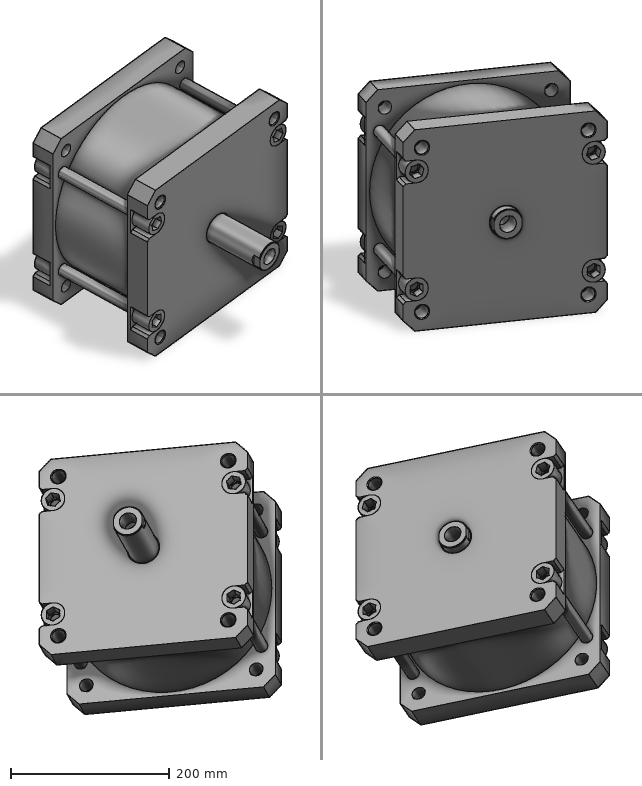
import cadquery as cq
import math

plate_side = 270.0
plate_thickness = 33.5
plate_corner_chamfer = 15.5

barrel_diameter = 260.5
barrel_length = 124.0

rod_diameter = 40.0
rod_length = 290.0
stub_length = 12.0
rod_tip_chamfer = 1.0
rod_hole_chamfer = 1.0
flat_spacing = 36.6
flat_length = 10.0
rod_bore_diameter = 22.0
rod_bore_depth = 30.0
drill_tip_angle = 118.0

mount_hole_offset = 110.0
mount_hole_diameter = 17.5
mount_hole_chamfer = 1.25

tie_rod_y = 117.0
tie_rod_z = 79.0
tie_rod_diameter = 16.0
tie_head_diameter = 30.5
tie_head_length = 28.0
hexagon_sides = 6
socket_across_flats = 17.0
socket_depth = 16.0
socket_pilot_diameter = 14.0
socket_pilot_depth = 2.0
upper_socket_turn = 15.0
slot_mouth_chamfer = 3.5

half_side = plate_side / 2
left_plate_start = stub_length
left_plate_end = left_plate_start + plate_thickness
right_plate_start = left_plate_end + barrel_length
right_plate_end = right_plate_start + plate_thickness
body_centre_x = (left_plate_start + right_plate_end) / 2
tie_rod_places = [(y, z) for y in (-tie_rod_y, tie_rod_y) for z in (-tie_rod_z, tie_rod_z)]


def section_plane(x):
    """Sketch plane across the rod axis at x, with local axes along +Y and +Z."""
    return cq.Workplane("YZ", origin=(x, 0, 0))


def mirrored_to_other_end(shape, centre_x):
    """Copy of a shape reflected to the opposite end about the plane X = centre_x."""
    return shape.mirror("YZ", (centre_x, 0, 0))


def head_slot(y, z):
    """Open-sided pocket for one tie rod head, with a bevelled mouth at the plate side."""
    side = math.copysign(1, y)
    radius = tie_head_diameter / 2
    edge_y = side * half_side
    bevel_y = edge_y - side * slot_mouth_chamfer
    mouth = radius + slot_mouth_chamfer
    return (
        section_plane(left_plate_start)
        .moveTo(y, z + radius)
        .lineTo(bevel_y, z + radius)
        .lineTo(edge_y, z + mouth)
        .lineTo(edge_y, z - mouth)
        .lineTo(bevel_y, z - radius)
        .lineTo(y, z - radius)
        .threePointArc((y - side * radius, z), (y, z + radius))
        .close()
        .extrude(tie_head_length)
    )


def rod_hole_countersink():
    """Conical lead-in around the rod on the outer face of the plate."""
    return (
        section_plane(left_plate_start)
        .circle(rod_diameter / 2 + rod_hole_chamfer)
        .workplane(offset=rod_hole_chamfer)
        .circle(rod_diameter / 2)
        .loft(ruled=True)
    )


def make_left_plate():
    plate = (
        section_plane(left_plate_start)
        .rect(plate_side, plate_side)
        .extrude(plate_thickness)
        .edges("|X")
        .chamfer(plate_corner_chamfer)
    )
    mount_pitch = 2 * mount_hole_offset
    mount_holes = (
        section_plane(left_plate_start)
        .rect(mount_pitch, mount_pitch, forConstruction=True)
        .vertices()
        .circle(mount_hole_diameter / 2)
        .extrude(plate_thickness)
    )
    plate = plate.cut(mount_holes)
    plate = plate.edges("%CIRCLE").edges("<X").chamfer(mount_hole_chamfer)
    tie_holes = (
        section_plane(left_plate_start)
        .pushPoints(tie_rod_places)
        .circle(tie_rod_diameter / 2)
        .extrude(plate_thickness)
    )
    rod_hole = section_plane(left_plate_start).circle(rod_diameter / 2).extrude(plate_thickness)
    plate = plate.cut(tie_holes).cut(rod_hole).cut(rod_hole_countersink())
    for y, z in tie_rod_places:
        plate = plate.cut(head_slot(y, z))
    return plate


def make_barrel():
    return (
        section_plane(left_plate_end)
        .circle(barrel_diameter / 2)
        .circle(rod_diameter / 2)
        .extrude(barrel_length)
    )


def rod_bore():
    """Blind drilled hole in the stub end, closed by a conical drill tip."""
    radius = rod_bore_diameter / 2
    tip_depth = radius / math.tan(math.radians(drill_tip_angle / 2))
    return (
        cq.Workplane("XY")
        .polyline([(0, 0), (0, radius), (rod_bore_depth, radius), (rod_bore_depth + tip_depth, 0)])
        .close()
        .revolve(360, (0, 0, 0), (1, 0, 0))
    )


def wrench_flat(side):
    """Material removed for one wrench flat, ending in a 45 degree shoulder."""
    flat_y = flat_spacing / 2
    outer_y = rod_diameter
    shoulder_end = flat_length + outer_y - flat_y
    return (
        cq.Workplane("XY")
        .polyline([
            (0, side * flat_y),
            (flat_length, side * flat_y),
            (shoulder_end, side * outer_y),
            (0, side * outer_y),
        ])
        .close()
        .extrude(rod_diameter, both=True)
    )


def make_rod():
    rod = (
        section_plane(0)
        .circle(rod_diameter / 2)
        .extrude(rod_length)
        .faces("<X or >X")
        .chamfer(rod_tip_chamfer)
    )
    for cutter in (rod_bore(), wrench_flat(-1), wrench_flat(1)):
        rod = rod.cut(cutter).cut(mirrored_to_other_end(cutter, rod_length / 2))
    return rod


def tie_head(y, z):
    """Socket head at the left plate, flush with its outer face."""
    turn = upper_socket_turn if z > 0 else 0
    corner_angle = 180 / hexagon_sides
    hexagon_diameter = socket_across_flats / math.cos(math.radians(corner_angle))
    head = (
        section_plane(left_plate_start)
        .circle(tie_head_diameter / 2)
        .extrude(tie_head_length)
    )
    socket = (
        section_plane(left_plate_start)
        .transformed(rotate=(0, 0, corner_angle + turn))
        .polygon(hexagon_sides, hexagon_diameter)
        .extrude(socket_depth)
    )
    pilot = (
        section_plane(left_plate_start)
        .circle(socket_pilot_diameter / 2)
        .extrude(socket_depth + socket_pilot_depth)
    )
    return head.cut(socket).cut(pilot).translate((0, y, z))


def make_tie_rod(y, z):
    shank_start = left_plate_start + tie_head_length
    shank_length = right_plate_end - tie_head_length - shank_start
    shank = (
        section_plane(shank_start)
        .center(y, z)
        .circle(tie_rod_diameter / 2)
        .extrude(shank_length)
    )
    head = tie_head(y, z)
    return shank.union(head).union(mirrored_to_other_end(head, body_centre_x))


left_plate = make_left_plate()
right_plate = mirrored_to_other_end(left_plate, body_centre_x)
barrel = make_barrel()
rod = make_rod()
tie_rods = [make_tie_rod(y, z).val() for y, z in tie_rod_places]

result = cq.Compound.makeCompound([
    left_plate.val(),
    right_plate.val(),
    barrel.val(),
    rod.val(),
    *tie_rods,
])